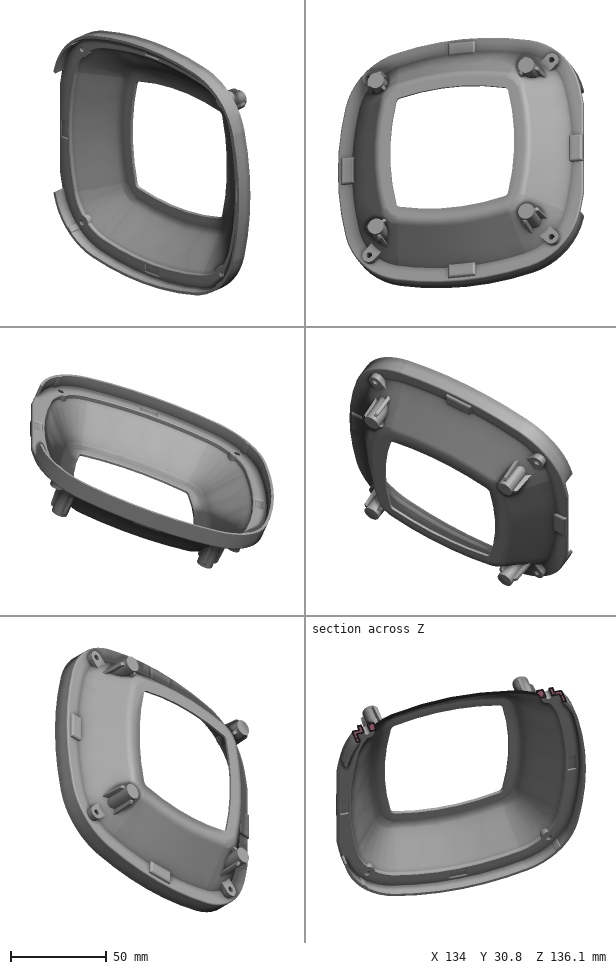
import cadquery as cq
import math

OUTER_HALF = 68.03
SIDE_RADIUS = 156.0
CORNER_CENTRE = 27.8
SIDE_CENTRE = SIDE_RADIUS - OUTER_HALF
CORNER_RADIUS = SIDE_RADIUS - math.hypot(CORNER_CENTRE, CORNER_CENTRE + SIDE_CENTRE)
CORNER_ANGLES = (45, 135, 225, 315)

PLATE_FRONT = 6.5
PLATE_BACK = 9.3
CONE_BACK = 28.85

SHELL_WALL = 1.1
FLANGE_THICKNESS = 1.5
CONE_SLOPE = 0.95
CONE_BASE_HALF = 60.1
MOUTH_HALF = 58.9
MOUTH_CHAMFER = 0.35
WINDOW_HALF = 34.0
WINDOW_CHAMFER = 0.35
CAVITY_BACK = CONE_BACK - FLANGE_THICKNESS
INNER_FILLET = 5.0
OUTER_FILLET = 5.4

RIM_WALL = 1.5
RIM_ROOT_FILLET = 0.5
PLATE_BACK_FILLET = 0.9
PLATE_FRONT_FILLET = 1.1
GAP_HALF_LENGTH = 34.1
GAP_END_FILLET = 1.0
FLAT_X = -65.94

RIB_WIDTH = 3.7
RIB_HEIGHT = 0.5
RIB_FILLET = 0.45

BOSS_SPACING = 49.74
BOSS_RADIUS = 3.75
BOSS_BACK = 12.7
BOSS_WEB_LENGTH = 11.0
SCREW_HOLE_DIAMETER = 3.2
BOSS_PAD_RADIUS = 4.3

PIN_SPACING = 41.0
PIN_RADIUS = 4.3
PIN_BACK = 30.75
FIN_REACH = 6.1
FIN_BASE_REACH = 7.3
FIN_THICKNESS = 1.7
FIN_BACK = 28.8
FIN_CHAMFER = 1.0
FIN_COUNT = 3

SIDE_ANGLES = (0, 90, 180, 270)
POCKET_CENTRE = 62.25
POCKET_LENGTH = 10.1
POCKET_WIDTH = 5.0
BUMP_LENGTH = 15.0
BUMP_WIDTH = 7.6
BUMP_FRONT = PLATE_BACK - PLATE_BACK_FILLET
BUMP_BACK = 10.9
BUMP_FILLET = 1.4
POCKET_DEPTH = 0.5
POCKET_WALL_SLANT = 45


def at_depth(y):
    """Sketch plane at depth y; negative extrusions run toward +Y."""
    return cq.Workplane("XZ", origin=(0, y, 0))


def outline(plane, half):
    """Rounded-square outline with every arc concentric to the outer one."""
    inset = OUTER_HALF - half
    reach = math.hypot(CORNER_CENTRE, CORNER_CENTRE + SIDE_CENTRE)
    side_radius = SIDE_RADIUS - inset
    near = side_radius * CORNER_CENTRE / reach
    far = side_radius * (CORNER_CENTRE + SIDE_CENTRE) / reach - SIDE_CENTRE
    corner = CORNER_CENTRE + (CORNER_RADIUS - inset) * math.sqrt(0.5)
    return (
        plane.moveTo(-near, far)
        .threePointArc((0, half), (near, far))
        .threePointArc((corner, corner), (far, near))
        .threePointArc((half, 0), (far, -near))
        .threePointArc((corner, -corner), (near, -far))
        .threePointArc((0, -half), (-near, -far))
        .threePointArc((-corner, -corner), (-far, -near))
        .threePointArc((-half, 0), (-far, near))
        .threePointArc((-corner, corner), (-near, far))
        .close()
    )


def prism(half, front, back):
    return outline(at_depth(front), half).extrude(front - back)


def frustum(front_half, front, back_half, back):
    lower = outline(at_depth(front), front_half)
    return outline(lower.workplane(offset=front - back), back_half).loft(ruled=True)


def centred_box(x, z, size_x, size_z, front, back):
    return at_depth(front).center(x, z).rect(size_x, size_z).extrude(front - back)


def corners(spacing):
    """The four corner points with the angle pointing away from the centre."""
    for angle in CORNER_ANGLES:
        x = math.copysign(spacing, math.cos(math.radians(angle)))
        z = math.copysign(spacing, math.sin(math.radians(angle)))
        yield x, z, angle


def make_plate():
    """Solid plate with a flat trimmed on its -X edge and rounded outer edges."""
    trim_width = OUTER_HALF + FLAT_X
    trim_x = FLAT_X - trim_width / 2
    plate = prism(OUTER_HALF, PLATE_FRONT, PLATE_BACK)
    plate = plate.cut(centred_box(trim_x, 0, trim_width, 2 * OUTER_HALF, 0, PLATE_BACK))
    plate = plate.faces(">Y").edges().fillet(PLATE_BACK_FILLET)
    return plate.faces("<Y").edges().fillet(PLATE_FRONT_FILLET)


def make_rim_wall():
    """Ring standing forward of the plate, open along the middle of the -X side."""
    inner_half = OUTER_HALF - RIM_WALL
    wall = prism(OUTER_HALF, 0, PLATE_BACK - PLATE_BACK_FILLET)
    bore = prism(inner_half, 0, PLATE_FRONT)
    bore = bore.faces(">Y").edges().fillet(RIM_ROOT_FILLET)
    for x, z, angle in corners(BOSS_SPACING):
        bore = bore.cut(make_rib(angle))
    wall = wall.cut(bore)
    wall = wall.cut(prism(MOUTH_HALF, 0, PLATE_BACK))
    gap_width = OUTER_HALF - MOUTH_HALF
    gap_x = -(OUTER_HALF + MOUTH_HALF) / 2
    wall = wall.cut(centred_box(gap_x, 0, gap_width, 2 * GAP_HALF_LENGTH, 0, PLATE_BACK))
    return wall.edges("|Y").edges("<X").fillet(GAP_END_FILLET)


def make_rib(angle):
    """Ridge running the full depth of the rim, on a corner diagonal."""
    corner_reach = math.sqrt(2) * CORNER_CENTRE + CORNER_RADIUS
    inner_reach = corner_reach - RIM_WALL - RIB_HEIGHT
    return (
        at_depth(0)
        .transformed(rotate=(0, 0, angle))
        .center((inner_reach + corner_reach) / 2, 0)
        .rect(corner_reach - inner_reach, RIB_WIDTH)
        .extrude(-PLATE_FRONT)
        .edges("|Y")
        .fillet(RIB_FILLET)
    )


def cone_half(depth):
    """Half size of the outside of the cone at a depth."""
    return CONE_BASE_HALF - CONE_SLOPE * (depth - PLATE_BACK)


def cavity_half(depth):
    return cone_half(depth) - SHELL_WALL * math.hypot(1, CONE_SLOPE)


def make_edge_chamfer(half, front, size):
    """Flared ring of cut that bevels the front edge of an opening."""
    return frustum(half + size, front, half, front + size)


def make_cone_outside():
    cone = frustum(cone_half(PLATE_FRONT), PLATE_FRONT, cone_half(CONE_BACK), CONE_BACK)
    return cone.faces(">Y").edges().fillet(OUTER_FILLET)


def make_cavity():
    """Conical hollow narrowed to a straight mouth where it passes the plate."""
    cavity = frustum(cavity_half(PLATE_FRONT), PLATE_FRONT, cavity_half(CAVITY_BACK), CAVITY_BACK)
    cavity = cavity.faces(">Y").edges().fillet(INNER_FILLET)
    cavity = cavity.intersect(prism(MOUTH_HALF, PLATE_FRONT, CAVITY_BACK))
    cavity = cavity.union(make_edge_chamfer(MOUTH_HALF, PLATE_FRONT, MOUTH_CHAMFER))
    for x, z, angle in corners(BOSS_SPACING):
        cavity = cavity.cut(make_boss_pad(x, z))
    return cavity


def make_screw_boss(x, z, angle):
    """Cylinder carried inward to the cone by a block of the same width."""
    barrel = at_depth(PLATE_FRONT).center(x, z).circle(BOSS_RADIUS).extrude(PLATE_FRONT - BOSS_BACK)
    web = (
        at_depth(PLATE_FRONT)
        .center(x, z)
        .transformed(rotate=(0, 0, angle))
        .center(-BOSS_WEB_LENGTH / 2, 0)
        .rect(BOSS_WEB_LENGTH, 2 * BOSS_RADIUS)
        .extrude(PLATE_FRONT - BOSS_BACK)
    )
    return barrel.union(web)


def make_boss_pad(x, z):
    return at_depth(PLATE_FRONT).center(x, z).circle(BOSS_PAD_RADIUS).extrude(PLATE_FRONT - BOSS_BACK)


def make_pin(x, z, angle):
    """Round pin with evenly spaced tapering fins, one of them pointing at the centre."""
    pin = at_depth(PLATE_BACK).center(x, z).circle(PIN_RADIUS).extrude(PLATE_BACK - PIN_BACK)
    for index in range(FIN_COUNT):
        fin_angle = angle + 180 + index * 360 / FIN_COUNT
        fin = (
            cq.Workplane("XY")
            .moveTo(0, PLATE_BACK)
            .lineTo(FIN_BASE_REACH, PLATE_BACK)
            .lineTo(FIN_REACH, FIN_BACK - FIN_CHAMFER)
            .lineTo(FIN_REACH - FIN_CHAMFER, FIN_BACK)
            .lineTo(0, FIN_BACK)
            .close()
            .extrude(FIN_THICKNESS / 2, both=True)
            .rotate((0, 0, 0), (0, 1, 0), -fin_angle)
            .translate((x, 0, z))
        )
        pin = pin.union(fin)
    return pin


def make_bump(angle):
    """Rounded block on the plate back whose outer face is flush with the trimmed edge."""
    bump_x = -FLAT_X - BUMP_WIDTH / 2
    bump = centred_box(bump_x, 0, BUMP_WIDTH, BUMP_LENGTH, BUMP_FRONT, BUMP_BACK)
    bump = bump.faces(">Y").edges().fillet(BUMP_FILLET)
    return bump.rotate((0, 0, 0), (0, 1, 0), -angle)


def make_pocket(angle):
    """Shallow recess in the plate front with sloping walls."""
    pocket = (
        at_depth(PLATE_FRONT)
        .center(POCKET_CENTRE, 0)
        .rect(POCKET_WIDTH, POCKET_LENGTH)
        .extrude(-POCKET_DEPTH, taper=POCKET_WALL_SLANT)
    )
    return pocket.rotate((0, 0, 0), (0, 1, 0), -angle)


def make_window():
    window = prism(WINDOW_HALF, CAVITY_BACK, CONE_BACK)
    return window.union(make_edge_chamfer(WINDOW_HALF, CAVITY_BACK, WINDOW_CHAMFER))


def make_screw_hole(x, z):
    return (
        at_depth(PLATE_FRONT)
        .center(x, z)
        .circle(SCREW_HOLE_DIAMETER / 2)
        .extrude(PLATE_FRONT - BOSS_BACK)
    )


body = make_plate().union(make_rim_wall()).union(make_cone_outside())
for x, z, angle in corners(PIN_SPACING):
    body = body.union(make_pin(x, z, angle))
for x, z, angle in corners(BOSS_SPACING):
    body = body.union(make_screw_boss(x, z, angle))
for angle in SIDE_ANGLES:
    body = body.union(make_bump(angle))

body = body.cut(make_cavity()).cut(make_window())
for angle in SIDE_ANGLES:
    body = body.cut(make_pocket(angle))
for x, z, angle in corners(BOSS_SPACING):
    body = body.cut(make_screw_hole(x, z))

result = body